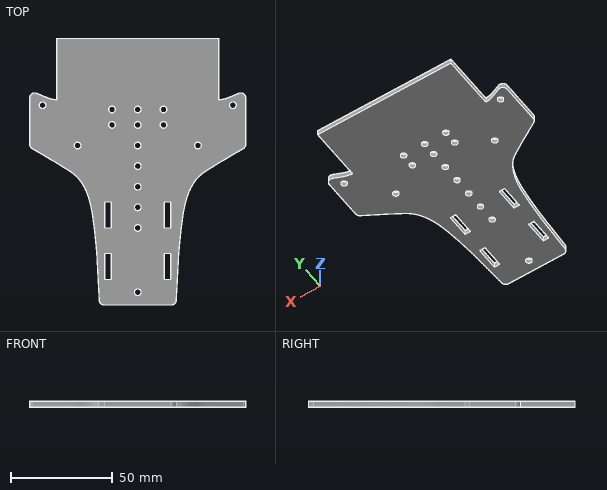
import cadquery as cq
import math

thickness = 3.17
length = 131.6
half_width = 106.68 / 2
corner_radius = 2.54

head_half_width = 40.0
head_foot_y = 101.4

ear_corner_x = half_width - corner_radius
ear_upper_y = 102.2
ear_lower_y = 79.4
ear_upper_slope = math.radians(22)
ear_lower_slope = math.radians(31)
ear_dip = (43.8, 102.05)

flank_points = [(37.26, 68.46), (30.14, 63.39), (21.55, 38.5)]
tail_half_width = 19.04
tail_lean = math.radians(2.5)

hole_diameter = 3.17
hole_pitch = 10.16
row_first_y = 38.1
row_count = 5
tail_hole_y = 6.35
front_rows_y = (88.9, 96.52)
front_hole_x = 12.7
shoulder_hole = (29.68, row_first_y + (row_count - 1) * hole_pitch)
ear_hole = (46.92, 98.62)

slot_width = 3.175
slot_length = 12.7
slot_x = 14.68
slot_rows_y = (19.05, 44.45)


def on_corner(center, angle):
    """Point at the given direction on a rounded corner."""
    return (
        center[0] + corner_radius * math.cos(angle),
        center[1] + corner_radius * math.sin(angle),
    )


def mirrored(point):
    """The point and its reflection across X = 0."""
    return [point, (-point[0], point[1])]


def half_plate():
    """The +X half of the plate."""
    upper = (ear_corner_x, ear_upper_y)
    lower = (ear_corner_x, ear_lower_y)
    tail = (tail_half_width - corner_radius, corner_radius)

    ear_crest_angle = math.pi / 2 + ear_upper_slope
    ear_base_angle = ear_lower_slope - math.pi / 2

    ear_crest = on_corner(upper, ear_crest_angle)
    ear_base = on_corner(lower, ear_base_angle)
    tail_side = on_corner(tail, -tail_lean)

    ear_rise = (math.cos(ear_upper_slope), math.sin(ear_upper_slope))
    flank_start = (-math.cos(ear_lower_slope), -math.sin(ear_lower_slope))
    flank_end = (-math.sin(tail_lean), -math.cos(tail_lean))

    outline = (
        cq.Workplane("XY")
        .moveTo(0, length)
        .lineTo(head_half_width, length)
        .lineTo(head_half_width, head_foot_y)
        .spline([ear_dip, ear_crest], tangents=[(1, 0), ear_rise], includeCurrent=True)
        .threePointArc(on_corner(upper, ear_crest_angle / 2), on_corner(upper, 0))
        .lineTo(half_width, ear_lower_y)
        .threePointArc(on_corner(lower, ear_base_angle / 2), ear_base)
        .spline(flank_points + [tail_side], tangents=[flank_start, flank_end], includeCurrent=True)
        .threePointArc(on_corner(tail, -math.pi / 4), on_corner(tail, -math.pi / 2))
        .lineTo(0, 0)
        .close()
    )
    return outline.extrude(thickness)


def cut_holes(plate):
    points = [(0, tail_hole_y)]
    for index in range(row_count):
        points.append((0, row_first_y + index * hole_pitch))
    for y in front_rows_y:
        points.append((0, y))
        points += mirrored((front_hole_x, y))
    points += mirrored(shoulder_hole)
    points += mirrored(ear_hole)
    holes = cq.Workplane("XY").pushPoints(points).circle(hole_diameter / 2).extrude(thickness)
    return plate.cut(holes)


def cut_slots(plate):
    points = []
    for y in slot_rows_y:
        points += mirrored((slot_x, y))
    slots = cq.Workplane("XY").pushPoints(points).rect(slot_width, slot_length).extrude(thickness)
    return plate.cut(slots)


right_half = half_plate()
plate = right_half.union(right_half.mirror("YZ")).clean()
result = cut_slots(cut_holes(plate))